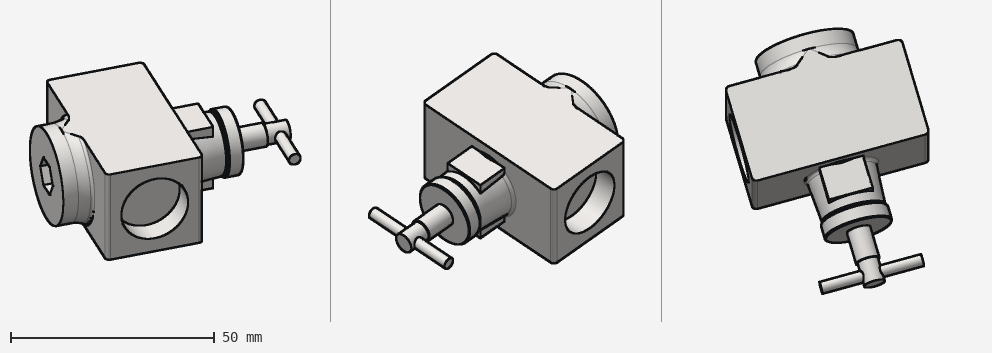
import cadquery as cq

overall_length = 62.5
body_width = 45.0
body_depth = 25.1
body_height = 25.0
body_corner_radius = 1.1

plug_radius = body_height / 2
plug_rim_length = 3.95
plug_length = 7.7
plug_root_radius = 13.05
plug_sweep_sag = 0.1
plug_flare_radius = 13.9
plug_flare_length = 0.75
hex_across_flats = 8.1
hex_depth = 3.1

port_diameter = 17.3
port_depth = 6.25

bonnet_length = 11.55
bonnet_root_radius = 8.8
bonnet_top_radius = 8.1
bonnet_flare_radius = 9.5
bonnet_flare_length = 0.9
neck_radius = 8.0
neck_length = 0.55
lug_width = 11.2
lug_length = 8.5
lug_height = 17.95

collar_diameter = 17.2
collar_length = 3.9
collar_chamfer = 0.25
stem_diameter = 6.0
stem_length = 8.2
tip_diameter = 5.25
handle_diameter = 3.05
handle_length = 25.9
handle_end_distance = 2.55

body_back = plug_length + body_depth
body_center = plug_length + body_depth / 2
bonnet_end = body_back + bonnet_length
collar_end = bonnet_end + collar_length
stem_end = collar_end + stem_length
flare_arc_factor = 0.5 ** 0.5


def cylinder(radius, start, end):
    """Solid cylinder on the Y axis between two stations."""
    return cq.Workplane("XZ", origin=(0, start, 0)).circle(radius).extrude(start - end)


def flare_midpoint(inner_radius, outer_radius, tip_station, face_station):
    """Middle of a concave quarter arc that runs out into a body face."""
    radius = outer_radius - (outer_radius - inner_radius) * flare_arc_factor
    station = tip_station + (face_station - tip_station) * flare_arc_factor
    return radius, station


def make_body():
    block = cq.Workplane("XY").box(body_width, body_depth, body_height)
    return block.edges("|Z").fillet(body_corner_radius).translate((0, body_center, 0))


def make_plug():
    flare_start = plug_length - plug_flare_length
    middle = flare_midpoint(plug_root_radius, plug_flare_radius, flare_start, plug_length)
    sweep_middle = (
        (plug_radius + plug_root_radius) / 2 - plug_sweep_sag,
        (plug_rim_length + flare_start) / 2,
    )
    profile = (
        cq.Workplane("XY")
        .lineTo(plug_radius, 0)
        .lineTo(plug_radius, plug_rim_length)
        .threePointArc(sweep_middle, (plug_root_radius, flare_start))
        .threePointArc(middle, (plug_flare_radius, plug_length))
        .lineTo(0, plug_length)
        .close()
    )
    plug = profile.revolve(360, (0, 0, 0), (0, 1, 0))
    envelope = cq.Workplane("XY").box(body_width, 2 * plug_length, body_height)
    return plug.intersect(envelope)


def make_bonnet():
    flare_end = body_back + bonnet_flare_length
    neck_start = bonnet_end - neck_length
    middle = flare_midpoint(bonnet_root_radius, bonnet_flare_radius, flare_end, body_back)
    profile = (
        cq.Workplane("XY")
        .moveTo(0, body_back)
        .lineTo(bonnet_flare_radius, body_back)
        .threePointArc(middle, (bonnet_root_radius, flare_end))
        .lineTo(bonnet_top_radius, neck_start)
        .lineTo(neck_radius, neck_start)
        .lineTo(neck_radius, bonnet_end)
        .lineTo(0, bonnet_end)
        .close()
    )
    taper = profile.revolve(360, (0, 0, 0), (0, 1, 0))
    lugs = cq.Workplane("XY").box(lug_width, lug_length, lug_height)
    return taper.union(lugs.translate((0, body_back + lug_length / 2, 0)))


def make_stem():
    collar = cylinder(collar_diameter / 2, bonnet_end, collar_end).edges().chamfer(collar_chamfer)
    stem = cylinder(stem_diameter / 2, collar_end, stem_end)
    tip = cylinder(tip_diameter / 2, stem_end, overall_length)
    handle = (
        cq.Workplane("YZ", origin=(0, overall_length - handle_end_distance, 0))
        .circle(handle_diameter / 2)
        .extrude(handle_length / 2, both=True)
    )
    return collar.union(stem).union(tip).union(handle)


def make_hex_socket():
    across_corners = hex_across_flats * 2 / 3 ** 0.5
    return cq.Workplane("XZ").polygon(6, across_corners).extrude(-hex_depth)


def make_port(side):
    """Blind port on the +X (side = 1) or -X (side = -1) end."""
    start = cq.Workplane("YZ", origin=(side * body_width / 2, body_center, 0))
    return start.circle(port_diameter / 2).extrude(-side * port_depth)


result = make_body().union(make_plug()).union(make_bonnet()).union(make_stem())
result = result.cut(make_hex_socket())
for side in (-1, 1):
    result = result.cut(make_port(side))